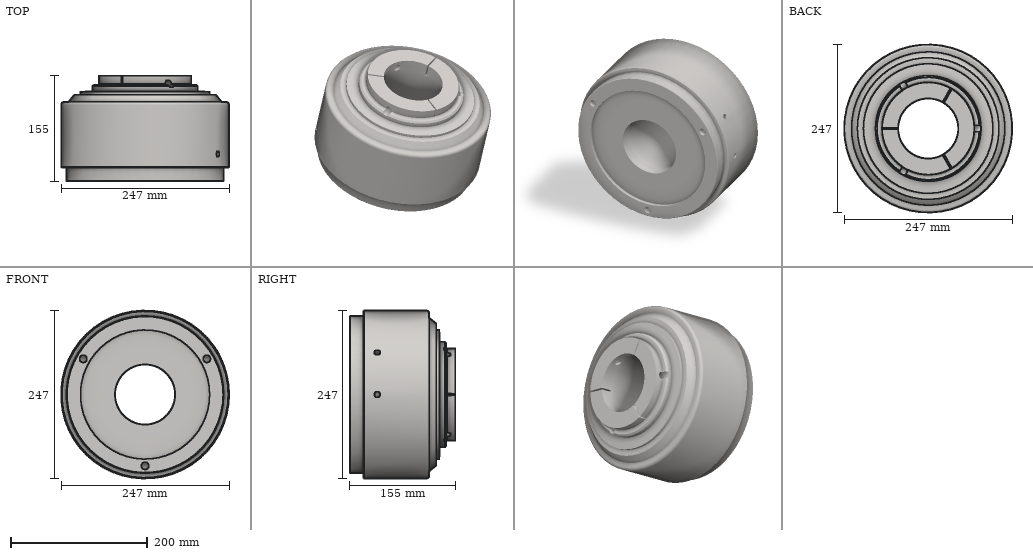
import cadquery as cq
import math

total_length = 155.0
body_radius = 123.5
bore_radius = 44.0

body_front = 20.0
body_back = 116.5
cone_back = 127.2
neck_back = 131.5
shoulder_front = 132.5
shoulder_back = 141.8
relief_back = 143.0

flange_radius = 115.5
cone_front_radius = 112.6
cone_back_radius = 104.0
neck_radius = 95.0
shoulder_seat_radius = 80.5
shoulder_radius = 77.5
sleeve_radius = 68.0
relief_radius = 67.7

flange_chamfer = 1.0
body_chamfer = 1.5
body_fillet = 4.5
shoulder_chamfer = 2.5

recess_radius = 94.8
recess_depth = 5.5

face_hole_radius = 5.5
face_hole_circle_radius = 104.7
face_hole_depth = 19.8
face_hole_angles = (30, 150, 270)
drill_tip_angle = 118

body_hole_radius = 4.2
body_hole_station = 40.3
body_hole_depth = 19.8
body_hole_floor_radius = body_radius - body_hole_depth
body_hole_angles = (0, 30)

sleeve_hole_radius = 5.2
sleeve_hole_station = 143.3
sleeve_hole_angles = (60, 180, 300)
slot_width = 2.5
slot_length = 19.3
slot_angles = (0, 120, 240)


def turned_body():
    """Stepped outline from the front flange to the sleeve end, with the bore."""
    fillet_middle = body_fillet * (1 - math.sqrt(0.5))
    return (
        cq.Workplane("XY")
        .moveTo(bore_radius, 0)
        .lineTo(flange_radius - flange_chamfer, 0)
        .lineTo(flange_radius, flange_chamfer)
        .lineTo(flange_radius, body_front)
        .lineTo(body_radius - body_chamfer, body_front)
        .lineTo(body_radius, body_front + body_chamfer)
        .lineTo(body_radius, body_back - body_fillet)
        .threePointArc(
            (body_radius - fillet_middle, body_back - fillet_middle),
            (body_radius - body_fillet, body_back),
        )
        .lineTo(cone_front_radius, body_back)
        .lineTo(cone_back_radius, cone_back)
        .lineTo(neck_radius, cone_back)
        .lineTo(neck_radius, neck_back)
        .lineTo(shoulder_seat_radius, shoulder_front)
        .lineTo(shoulder_radius, shoulder_front)
        .lineTo(shoulder_radius, shoulder_back - shoulder_chamfer)
        .lineTo(shoulder_radius - shoulder_chamfer, shoulder_back)
        .lineTo(relief_radius, shoulder_back)
        .lineTo(relief_radius, relief_back)
        .lineTo(sleeve_radius, relief_back)
        .lineTo(sleeve_radius, total_length)
        .lineTo(bore_radius, total_length)
        .close()
        .revolve(360, (0, 0, 0), (0, 1, 0))
    )


def radial_pin(radius, station, inner_end, outer_end, angle):
    """Cylinder pointing away from the Y axis, turned by angle from +X towards +Z."""
    pin_length = outer_end - inner_end
    pin = cq.Workplane("YZ", origin=(inner_end, station, 0)).circle(radius).extrude(pin_length)
    return pin.rotate((0, 0, 0), (0, 1, 0), -angle)


def front_recess():
    """Shallow round recess in the front face."""
    return cq.Workplane("XZ").circle(recess_radius).extrude(-recess_depth)


def face_hole(angle):
    """Drilled blind hole with a conical tip, entering the front face."""
    tip_length = face_hole_radius / math.tan(math.radians(drill_tip_angle / 2))
    hole = (
        cq.Workplane("XY")
        .lineTo(face_hole_radius, 0)
        .lineTo(face_hole_radius, face_hole_depth)
        .lineTo(0, face_hole_depth + tip_length)
        .close()
        .revolve(360, (0, 0, 0), (0, 1, 0))
    )
    return hole.translate((face_hole_circle_radius, 0, 0)).rotate((0, 0, 0), (0, 1, 0), -angle)


def sleeve_slot(angle):
    """Axial slot through the sleeve wall, open at the sleeve end."""
    slot = cq.Workplane("XY").box(sleeve_radius, slot_length, slot_width, centered=(False, False, True))
    slot = slot.translate((0, total_length - slot_length, 0))
    return slot.rotate((0, 0, 0), (0, 1, 0), -angle)


result = turned_body()
result = result.cut(front_recess())

for angle in face_hole_angles:
    result = result.cut(face_hole(angle))

for angle in body_hole_angles:
    result = result.cut(
        radial_pin(body_hole_radius, body_hole_station, body_hole_floor_radius, body_radius, angle)
    )

for angle in slot_angles:
    result = result.cut(sleeve_slot(angle))

for angle in sleeve_hole_angles:
    result = result.cut(radial_pin(sleeve_hole_radius, sleeve_hole_station, 0, body_radius, angle))